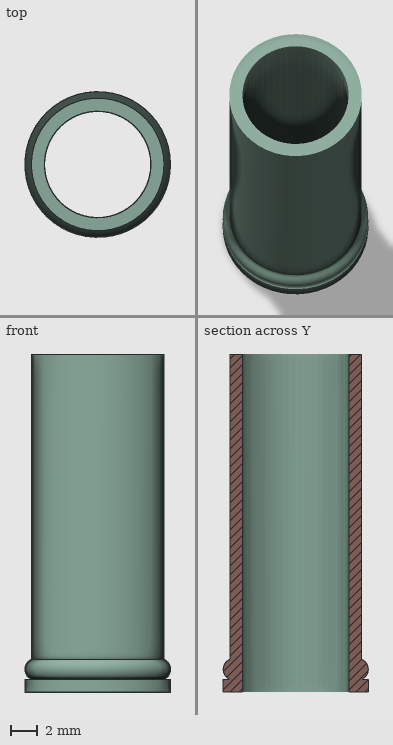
import cadquery as cq

total_height = 25.5
bore_diameter = 8.0
tube_diameter = 10.0
flange_diameter = 11.0
flange_thickness = 1.0
bead_height = 1.5

bead_bottom = flange_thickness
bead_top = bead_bottom + bead_height
bead_middle = bead_bottom + bead_height / 2


def make_tube():
    return cq.Workplane("XY").circle(tube_diameter / 2).extrude(total_height)


def make_flange():
    return cq.Workplane("XY").circle(flange_diameter / 2).extrude(flange_thickness)


def make_bead():
    """Ring on the tube with an outward arc from the flange face to the tube wall."""
    return (
        cq.Workplane("XZ")
        .moveTo(bore_diameter / 2, bead_bottom)
        .lineTo(tube_diameter / 2, bead_bottom)
        .threePointArc((flange_diameter / 2, bead_middle), (tube_diameter / 2, bead_top))
        .lineTo(bore_diameter / 2, bead_top)
        .close()
        .revolve(360, (0, 0), (0, 1))
    )


def make_bore():
    return cq.Workplane("XY").circle(bore_diameter / 2).extrude(total_height)


result = make_tube().union(make_flange()).union(make_bead()).cut(make_bore())